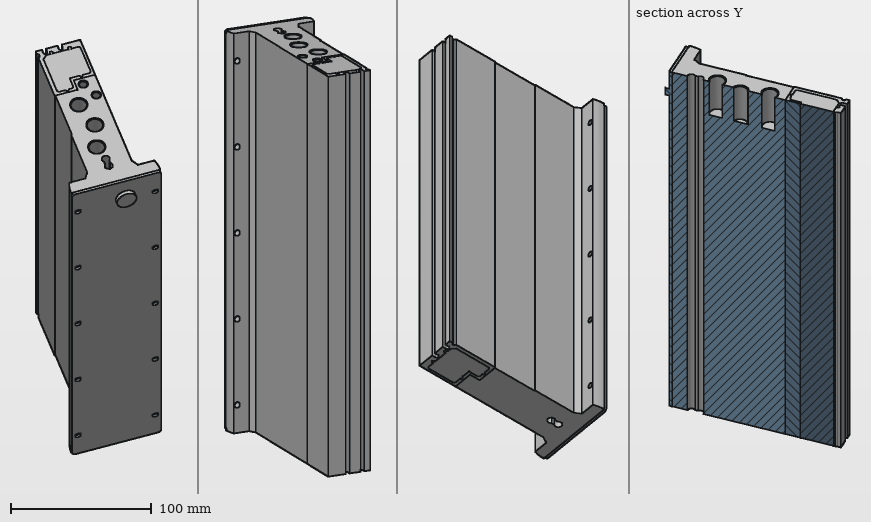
import cadquery as cq
import math

length = 298.5
total_width = 134.5
x_left = -total_width / 2

web_thickness = 33.5
web_half = web_thickness / 2
flange_width = 66.8
flange_half = flange_width / 2
flange_back_x = x_left + 120.3
flange_front_x = x_left + 129.5
flange_edge_drop = 1.5
gusset_x = 5.0
gusset_angle = 30.0
gusset_y = gusset_x * math.tan(math.radians(gusset_angle))
relief_depth = 0.5
relief_end_x = x_left + 79.5

joint_upper_x = x_left + 33.5
joint_lower_x = x_left + 42.5
joint_step_y = 0.5

channel_diameter = 11.3
channel_centres = [(55.5, -3.0), (76.5, 2.0), (95.8, -3.0)]
bolt_diameter = 5.7
bolt_centres = [(38.8, 6.0), (51.0, 11.5)]
hole_depth = 29.8
hole_chamfer = 0.5
hole_chamfer_angle = 45.0

slot_diameter = 5.7
slot_centre_y = -0.3
slot_left_x = x_left + 108.0
slot_right_x = x_left + 114.5
slot_neck_width = 4.0

screw_diameter = 4.2
screw_columns_y = 29.0
screw_rows = 5
screw_pitch = 64.2

plate_end_x = x_left + 131.5
boss_end_x = x_left + total_width
plate_corner_radius = 2.7
boss_diameter = 14.5
boss_y = 6.5
boss_z = 130.7

groove_width = 3.0
groove_depth = 4.5
groove_centres_y = [1.2, -10.5]
notch_mouth_width = 3.5
notch_floor_width = 1.2
notch_depth = 1.5
notch_x = x_left + 4.2

core_left_x = x_left + 5.7
core_upper_right_x = x_left + 30.7
core_lower_right_x = x_left + 40.0
core_top_y = 14.5
core_bottom_y = -13.7
core_step_y = -1.5
core_corner_radius = 1.8
core_chamfer = 3.0
bump_diameter = 2.45
bump_upper_y = 7.2
bump_lower_y = -6.5
left_bump_offset = 1.0


def extrude_full(sketch):
    return sketch.extrude(length / 2, both=True)


def full_cylinders(points, diameter):
    return extrude_full(cq.Workplane("XY").pushPoints(points).circle(diameter / 2))


def vertical_edge_at(body, corner):
    return body.edges(cq.selectors.NearestToPointSelector((*corner, 0)))


def make_core():
    outline = [
        (core_left_x, core_bottom_y),
        (core_lower_right_x, core_bottom_y),
        (core_lower_right_x, core_step_y),
        (core_upper_right_x, core_step_y),
        (core_upper_right_x, core_top_y),
        (core_left_x, core_top_y),
    ]
    core = extrude_full(cq.Workplane("XY").polyline(outline).close())
    rounded_corners = [outline[1], outline[2], outline[4], outline[5]]
    for corner in rounded_corners:
        core = vertical_edge_at(core, corner).fillet(core_corner_radius)
    core = vertical_edge_at(core, outline[0]).chamfer(core_chamfer)
    bumps = [
        (core_left_x - left_bump_offset, bump_upper_y),
        (core_left_x - left_bump_offset, bump_lower_y),
        (core_upper_right_x, bump_upper_y),
        (core_lower_right_x, bump_lower_y),
    ]
    return core.union(full_cylinders(bumps, bump_diameter))


def make_nose_frame(core):
    outline = [
        (x_left, -web_half),
        (joint_lower_x, -web_half),
        (joint_lower_x, joint_step_y),
        (joint_upper_x, joint_step_y),
        (joint_upper_x, web_half),
        (x_left, web_half),
    ]
    frame = extrude_full(cq.Workplane("XY").polyline(outline).close())
    for y in groove_centres_y:
        radius = groove_width / 2
        groove = (
            cq.Workplane("XY")
            .moveTo(x_left, y - radius)
            .lineTo(x_left + groove_depth - radius, y - radius)
            .threePointArc((x_left + groove_depth, y), (x_left + groove_depth - radius, y + radius))
            .lineTo(x_left, y + radius)
            .close()
        )
        frame = frame.cut(extrude_full(groove))
    notch = (
        cq.Workplane("XY")
        .moveTo(notch_x - notch_mouth_width / 2, -web_half)
        .lineTo(notch_x + notch_mouth_width / 2, -web_half)
        .lineTo(notch_x + notch_floor_width / 2, notch_depth - web_half)
        .lineTo(notch_x - notch_floor_width / 2, notch_depth - web_half)
        .close()
    )
    return frame.cut(extrude_full(notch)).cut(core)


def housing_blank():
    flange_depth = flange_front_x - flange_back_x
    edge_radius = (flange_depth**2 + flange_edge_drop**2) / (2 * flange_edge_drop)
    middle_drop = edge_radius - math.sqrt(edge_radius**2 - (flange_depth / 2) ** 2)
    middle_x = flange_front_x - flange_depth / 2
    middle_half = flange_half - middle_drop
    back_half = flange_half - flange_edge_drop
    return extrude_full(
        cq.Workplane("XY")
        .moveTo(joint_upper_x, web_half)
        .lineTo(joint_upper_x, joint_step_y)
        .lineTo(joint_lower_x, joint_step_y)
        .lineTo(joint_lower_x, relief_depth - web_half)
        .lineTo(relief_end_x, relief_depth - web_half)
        .lineTo(relief_end_x, -web_half)
        .lineTo(flange_back_x - gusset_x, -web_half)
        .lineTo(flange_back_x, -web_half - gusset_y)
        .lineTo(flange_back_x, -back_half)
        .threePointArc((middle_x, -middle_half), (flange_front_x, -flange_half))
        .lineTo(flange_front_x, flange_half)
        .threePointArc((middle_x, middle_half), (flange_back_x, back_half))
        .lineTo(flange_back_x, web_half + gusset_y)
        .lineTo(flange_back_x - gusset_x, web_half)
        .close()
    )


def blind_holes(centres, diameter):
    points = [(x_left + distance, y) for distance, y in centres]
    top = cq.Workplane("XY").workplane(offset=length / 2).pushPoints(points)
    bore = top.circle(diameter / 2).extrude(-hole_depth)
    rim = top.circle(diameter / 2 + hole_chamfer).extrude(-hole_chamfer, taper=hole_chamfer_angle)
    return bore.union(rim)


def joined_slot():
    neck = extrude_full(
        cq.Workplane("XY")
        .center((slot_left_x + slot_right_x) / 2, slot_centre_y)
        .rect(slot_right_x - slot_left_x, slot_neck_width)
    )
    ends = [(slot_left_x, slot_centre_y), (slot_right_x, slot_centre_y)]
    return neck.union(full_cylinders(ends, slot_diameter))


def screw_holes():
    return (
        cq.Workplane("YZ")
        .workplane(offset=flange_back_x)
        .rarray(2 * screw_columns_y, screw_pitch, 2, screw_rows)
        .circle(screw_diameter / 2)
        .extrude(plate_end_x - flange_back_x)
    )


def make_housing():
    return (
        housing_blank()
        .cut(blind_holes(channel_centres, channel_diameter))
        .cut(blind_holes(bolt_centres, bolt_diameter))
        .cut(joined_slot())
        .cut(screw_holes())
    )


def make_cover_plate():
    plate = (
        cq.Workplane("YZ")
        .workplane(offset=flange_front_x)
        .rect(flange_width, length)
        .extrude(plate_end_x - flange_front_x)
        .edges("|X")
        .fillet(plate_corner_radius)
    )
    boss = (
        cq.Workplane("YZ")
        .workplane(offset=flange_front_x)
        .center(boss_y, boss_z)
        .circle(boss_diameter / 2)
        .extrude(boss_end_x - flange_front_x)
    )
    return plate.union(boss).cut(screw_holes())


core = make_core()
nose_frame = make_nose_frame(core)
housing = make_housing()
cover_plate = make_cover_plate()

result = cq.Compound.makeCompound([housing.val(), nose_frame.val(), core.val(), cover_plate.val()])